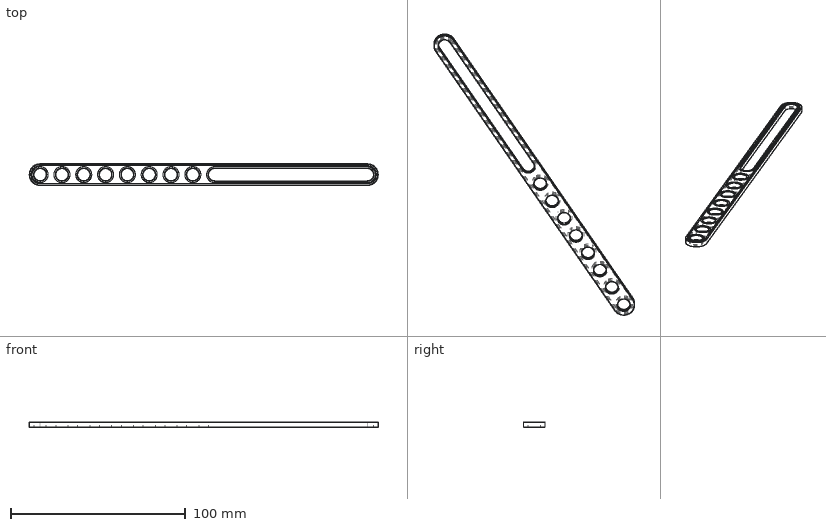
import cadquery as cq

length = 200.0
pitch_count = 16
pitch = length / pitch_count
width = pitch
thickness = pitch / 4

hole_count = 8
opening_width = 7.0
collar_width = 9.2

rim_wall = 1.1
recess_depth = 0.25

edge_bevel = 0.3
bevel_angle = 45

first_hole_x = -(length - pitch) / 2
last_centre_x = -first_hole_x
slot_start_x = first_hole_x + hole_count * pitch
recess_floor = thickness - recess_depth

hole_centres = [first_hole_x + i * pitch for i in range(hole_count)]
openings = [(hole_x, hole_x) for hole_x in hole_centres]
openings.append((slot_start_x, last_centre_x))


def bar(start_x, end_x, bar_width, bottom, height, taper=0):
    """Round-ended bar, or a disc where start_x equals end_x, rising from bottom by height."""
    base = cq.Workplane("XY", origin=((start_x + end_x) / 2, 0, bottom))
    if start_x == end_x:
        outline = base.circle(bar_width / 2)
    else:
        outline = base.slot2D(end_x - start_x + bar_width, bar_width)
    return outline.extrude(height, taper=taper)


def plate():
    """Round-ended plate with both outer edges bevelled."""
    blank = bar(first_hole_x, last_centre_x, width, 0, thickness)
    return blank.faces("<Z or >Z").chamfer(edge_bevel)


def recess():
    """Shallow pocket inside the outer rim, open at the top face."""
    return bar(first_hole_x, last_centre_x, width - 2 * rim_wall, recess_floor, recess_depth)


def collar(start_x, end_x):
    """Raised collar around one opening, level with the rim."""
    return bar(start_x, end_x, collar_width, recess_floor, recess_depth)


def bevelled_opening(start_x, end_x):
    """Through opening that flares out by the bevel at both faces."""
    flared_width = opening_width + 2 * edge_bevel
    bottom_flare = bar(start_x, end_x, flared_width, 0, edge_bevel, bevel_angle)
    top_flare = bar(start_x, end_x, flared_width, thickness, -edge_bevel, bevel_angle)
    through = bar(start_x, end_x, opening_width, 0, thickness)
    return through.union(bottom_flare).union(top_flare)


body = plate().cut(recess())
for start_x, end_x in openings:
    body = body.union(collar(start_x, end_x))
for start_x, end_x in openings:
    body = body.cut(bevelled_opening(start_x, end_x))

result = body